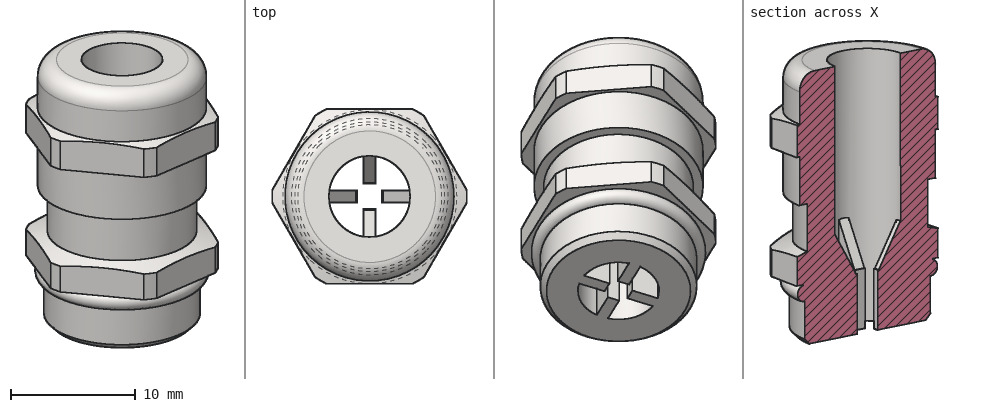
import cadquery as cq
import math

height = 22.7
bore_radius = 3.25

thread_radius = 6.27
thread_chamfer = 0.5
ring_bottom = 3.6
ring_section_radius = 0.7
ring_top = ring_bottom + 2 * ring_section_radius

across_flats = 14.0
across_corners = 15.6
hex_cone_angle = 15.0
lower_hex_edge_height = 2.25
upper_hex_bottom = 15.73
upper_hex_edge_height = 2.47

neck_radius = 6.0
cap_radius = 6.76
cap_bottom = 11.7
cap_fillet = 1.5

rib_count = 4
rib_width = 0.98
rib_tip_radius = 1.0
rib_tip_land = 0.1
rib_slope_angle = 30.0
rib_tip_top = ring_top
rib_overlap = 0.23


def cylinder(radius, bottom, top):
    return cq.Workplane("XY").workplane(offset=bottom).circle(radius).extrude(top - bottom)


def hex_collar(bottom, edge_height, shaft_radius):
    """Hexagon with rounded corners and a conical top rising to the shaft."""
    corner_radius = across_corners / 2
    edge = bottom + edge_height
    rise = (corner_radius - shaft_radius) * math.tan(math.radians(hex_cone_angle))
    top = edge + rise
    sharp_corners = across_flats / math.cos(math.pi / 6)
    prism = cq.Workplane("XY").workplane(offset=bottom).polygon(6, sharp_corners).extrude(top - bottom)
    turned_limit = (
        cq.Workplane("XZ")
        .moveTo(0, bottom)
        .lineTo(corner_radius, bottom)
        .lineTo(corner_radius, edge)
        .lineTo(shaft_radius, top)
        .lineTo(0, top)
        .close()
        .revolve(360, (0, 0, 0), (0, 1, 0))
    )
    return prism.intersect(turned_limit)


def seal_ring():
    """Half-round bead around the thread, just below the lower hexagon."""
    middle = (ring_bottom + ring_top) / 2
    return (
        cq.Workplane("XZ")
        .moveTo(0, ring_bottom)
        .lineTo(thread_radius, ring_bottom)
        .threePointArc((thread_radius + ring_section_radius, middle), (thread_radius, ring_top))
        .lineTo(0, ring_top)
        .close()
        .revolve(360, (0, 0, 0), (0, 1, 0))
    )


def bore_rib(angle):
    """Rib running from the base up to its tip land, then sloping back to the bore wall."""
    root_radius = bore_radius + rib_overlap
    slope_run = bore_radius - rib_tip_radius - rib_tip_land
    slope_top = rib_tip_top + slope_run / math.tan(math.radians(rib_slope_angle))
    return (
        cq.Workplane("XZ")
        .moveTo(rib_tip_radius, 0)
        .lineTo(rib_tip_radius, rib_tip_top)
        .lineTo(rib_tip_radius + rib_tip_land, rib_tip_top)
        .lineTo(bore_radius, slope_top)
        .lineTo(root_radius, slope_top)
        .lineTo(root_radius, 0)
        .close()
        .extrude(rib_width / 2, both=True)
        .rotate((0, 0, 0), (0, 0, 1), angle)
    )


thread = cylinder(thread_radius, 0, ring_top).faces("<Z").edges().chamfer(thread_chamfer)
neck = cylinder(neck_radius, ring_top, cap_bottom)
cap = cylinder(cap_radius, cap_bottom, height).faces(">Z").edges().fillet(cap_fillet)

body = thread.union(seal_ring()).union(neck).union(cap)
body = body.union(hex_collar(ring_top, lower_hex_edge_height, neck_radius))
body = body.union(hex_collar(upper_hex_bottom, upper_hex_edge_height, cap_radius))
body = body.cut(cylinder(bore_radius, 0, height))

for index in range(rib_count):
    body = body.union(bore_rib(index * 360 / rib_count))

result = body